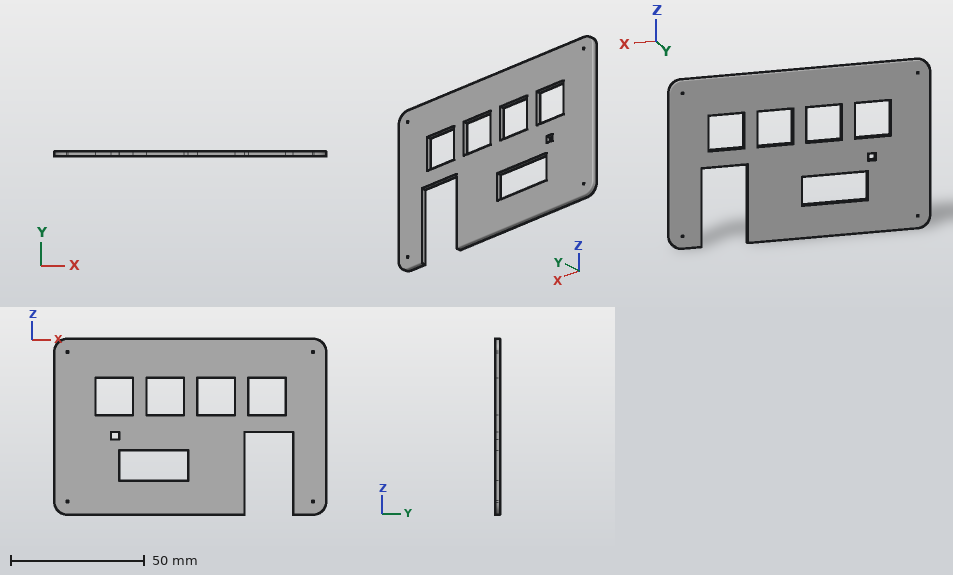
import cadquery as cq

width = 102.0
height = 66.0
thickness = 2.0
corner_radius = 5.0
back_edge_radius = 0.5

pin_hole_diameter = 0.6

window_size = 14.0
window_pitch = 19.1
window_count = 4
first_window_x = -28.5
window_row_z = 11.3

display_width = 25.8
display_height = 11.3
display_x = -13.7
display_z = -14.5

small_window_width = 3.0
small_window_height = 2.8
small_window_x = -28.2
small_window_z = -3.4

notch_width = 18.2
notch_x = 29.5
notch_top_z = -2.0


def make_plate():
    """Rounded plate with its outer back edge rounded."""
    plate = cq.Workplane("XY").box(width, thickness, height)
    plate = plate.edges("|Y").fillet(corner_radius)
    return plate.faces(">Y").edges().fillet(back_edge_radius)


def cutter(x, z, size_x, size_z):
    """Block centred at (x, z) that reaches through the whole plate."""
    return cq.Workplane("XY").box(size_x, 2 * thickness, size_z).translate((x, 0, z))


result = make_plate()

for index in range(window_count):
    window_x = first_window_x + index * window_pitch
    result = result.cut(cutter(window_x, window_row_z, window_size, window_size))

result = result.cut(cutter(display_x, display_z, display_width, display_height))
result = result.cut(cutter(small_window_x, small_window_z, small_window_width, small_window_height))

notch_depth = notch_top_z + height / 2
notch_z = notch_top_z - notch_depth / 2
result = result.cut(cutter(notch_x, notch_z, notch_width, notch_depth))

pin_holes = (
    cq.Workplane("XZ")
    .rect(width - 2 * corner_radius, height - 2 * corner_radius, forConstruction=True)
    .vertices()
    .circle(pin_hole_diameter / 2)
    .extrude(thickness, both=True)
)
result = result.cut(pin_holes)